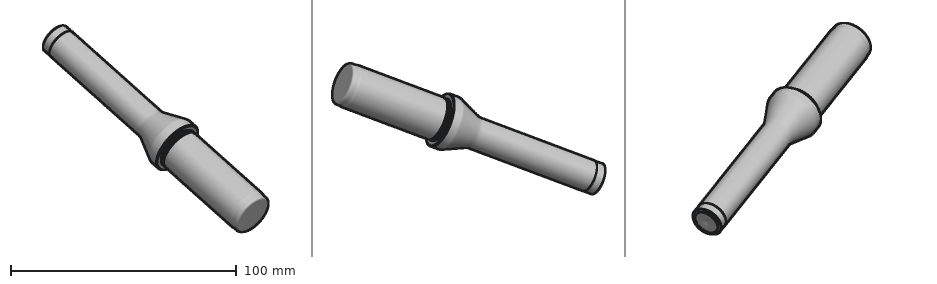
import cadquery as cq
import math

total_length = 132.0

tip_length = 5.0
tip_front_diameter = 14.7
tip_back_diameter = 14.4
tip_chamfer = 0.3
tip_boss_diameter = 11.6
tip_boss_height = 0.5
centre_hole_mouth_diameter = 7.8
centre_hole_diameter = 4.4
centre_floor_diameter = 0.5
centre_mouth_depth = 0.2
centre_floor_depth = 0.6

slim_diameter = 14.7
collar_diameter = 25.0
flare_half_angle = 24.5
neck_blend_start = 63.6
neck_blend_radius = 5.7
collar_start = 77.6
collar_blend_radius = 2.9
collar_end = 82.0
collar_chamfer = 0.4

thick_diameter = 20.0
relief_diameter = 19.5
relief_floor_start = 82.8
relief_floor_end = 83.2
thick_start = 84.0
thick_end = 128.0
end_land_start = 129.0
end_round = 1.0


def turn(profile):
    """Revolve a closed profile, drawn as (axial, radial), about the X axis."""
    return profile.close().revolve(360, (0, 0, 0), (1, 0, 0))


def make_tip():
    """Back-tapered, chamfered end piece with a low face boss and a shallow stepped centre."""
    return turn(
        cq.Workplane("XY")
        .moveTo(centre_floor_depth, 0)
        .lineTo(centre_floor_depth, centre_floor_diameter / 2)
        .lineTo(centre_mouth_depth, centre_hole_diameter / 2)
        .lineTo(0, centre_hole_mouth_diameter / 2)
        .lineTo(0, tip_boss_diameter / 2)
        .lineTo(tip_boss_height, tip_boss_diameter / 2)
        .lineTo(tip_boss_height, tip_front_diameter / 2 - tip_chamfer)
        .lineTo(tip_boss_height + tip_chamfer, tip_front_diameter / 2)
        .lineTo(tip_length, tip_back_diameter / 2)
        .lineTo(tip_length, 0)
    )


def make_body():
    """Slim shank flaring with tangent blends into a collar, then a relieved thick shank."""
    slim_radius = slim_diameter / 2
    collar_radius = collar_diameter / 2
    thick_radius = thick_diameter / 2
    relief_radius = relief_diameter / 2
    angle = math.radians(flare_half_angle)

    def neck_blend(turned):
        return (
            neck_blend_start + neck_blend_radius * math.sin(turned),
            slim_radius + neck_blend_radius * (1 - math.cos(turned)),
        )

    def collar_blend(turned):
        return (
            collar_start - collar_blend_radius * math.sin(turned),
            collar_radius - collar_blend_radius * (1 - math.cos(turned)),
        )

    return turn(
        cq.Workplane("XY")
        .moveTo(tip_length, 0)
        .lineTo(tip_length, slim_radius)
        .lineTo(*neck_blend(0))
        .threePointArc(neck_blend(angle / 2), neck_blend(angle))
        .lineTo(*collar_blend(angle))
        .threePointArc(collar_blend(angle / 2), collar_blend(0))
        .lineTo(collar_end - collar_chamfer, collar_radius)
        .lineTo(collar_end, collar_radius - collar_chamfer)
        .lineTo(collar_end, thick_radius)
        .lineTo(relief_floor_start, relief_radius)
        .lineTo(relief_floor_end, relief_radius)
        .lineTo(thick_start, thick_radius)
        .lineTo(thick_end, thick_radius)
        .lineTo(end_land_start, relief_radius)
        .lineTo(total_length - end_round, relief_radius)
        .tangentArcPoint((total_length, relief_radius - end_round), relative=False)
        .lineTo(total_length, 0)
    )


tip = make_tip()
body = make_body()

result = cq.Compound.makeCompound([tip.val(), body.val()])